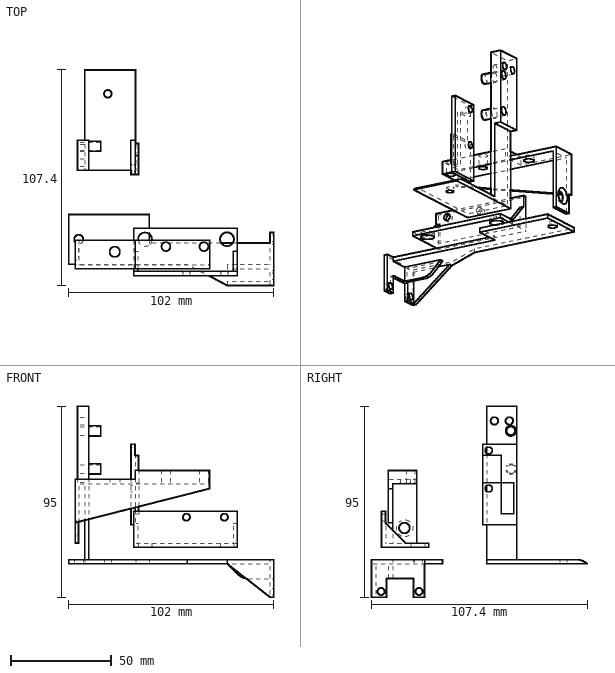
import cadquery as cq
import math


LENGTH = 102.0
DEPTH = 107.4
HEIGHT = 95.0
SHEET = 2.1
FLOOR_Z = 16.6
SCREW_PITCH = 18.9
SCREW_HOLE = 3.7
SMALL_HOLE = 3.4
GUIDE_HOLE = 4.4

POST_FRONT = 57.4
POST_WIDTH = 15.0
POST_BACK = POST_FRONT + POST_WIDTH
POST_RIGHT = 10.0
POST_HEAD_THICKNESS = 5.7
POST_HEAD_BOTTOM = 57.2
FOOT_LEFT = POST_RIGHT - SHEET
FOOT_RIGHT = 33.3
FOOT_LIP = 5.2
FOOT_HOLE_X = 19.4
FOOT_HOLE_Y = 95.5
PEG_LENGTH = 6.0
PEG_DIAMETER = 5.2
PEG_BORE = 4.2
PEG_Y = 69.4
PEG_TOP_Z = 82.8
POST_HOLE_Z = 87.7
POST_HOLE_YS = (61.2, 68.6)

PLATE_LEFT = 30.9
PLATE_RIGHT = PLATE_LEFT + SHEET
PLATE_FRONT = 55.3
PLATE_BACK = POST_BACK
PLATE_BOTTOM = 36.1
PLATE_TOP = 76.1
PAD_THICKNESS = 1.7
PAD_MARGIN = 5.6
PAD_SPLIT_Y = 64.7
PAD_SPLIT_Z = 56.9
PAD_BACK = 70.8
PLATE_HOLE_Y = 58.4
PLATE_HOLE_TOP_Z = 73.0

ARM_LEFT = 3.1
ARM_LENGTH = 67.0
ARM_FRONT = 8.4
ARM_WIDTH = 14.3
ARM_BACK = ARM_FRONT + ARM_WIDTH
ARM_TOP = 63.2
ARM_STEP_X = 33.2
ARM_STEP = 4.4
ARM_ROOT_BOTTOM = 37.0
ARM_TIP_BOTTOM = 54.0
TAB_THICKNESS = 1.8
TAB_BOTTOM = 27.0
TAB_HOLE = 5.2
TAB_SINK = 8.3
TAB_HOLE_Y = 16.4
TAB_HOLE_Z = 34.5
ARM_HOLE_X = 22.9
ARM_HOLE_Y = 16.9
ARM_SCREW_X = 48.3
ARM_SCREW_Y = 19.4

ANGLE_LEFT = 32.2
ANGLE_LENGTH = 51.7
ANGLE_FRONT = 4.9
ANGLE_WIDTH = 23.7
ANGLE_BOTTOM = 24.8
ANGLE_HEIGHT = 18.0
GUSSET_LEG = 10.0
ANGLE_FLOOR_HOLE = 6.8
ANGLE_FLOOR_HOLE_Y = 23.1
ANGLE_FLOOR_HOLE_XS = (37.9, 78.7)
ANGLE_SCREW_X = 58.5
ANGLE_SCREW_Z = 39.8

BASE_FRONT = 10.6
BASE_BACK = 35.4
BASE_STEP_X = 40.2
BASE_NARROW_BACK = 21.3
BASE_FLARE_X = 59.0
BASE_END_X = 78.9
BASE_HOLE_X = 4.9
BASE_HOLE_Y = 23.1
FLANGE_THICKNESS = 1.9
FLANGE_BACK = 26.5
NOTCH_FRONT = 7.6
NOTCH_BACK = 20.9
NOTCH_TOP = 9.2
FLANGE_HOLE_FRONT_Y = 4.8
FLANGE_HOLE_Z = 2.9
BRACE_FILLET = 7.5


def block(x_range, y_range, z_range):
    """Box between the two given limits along each axis."""
    size = [high - low for low, high in (x_range, y_range, z_range)]
    corner = (x_range[0], y_range[0], z_range[0])
    return cq.Workplane("XY").box(*size, centered=False).translate(corner)


def rod(diameter, start, end):
    """Cylinder between two points."""
    axis = cq.Vector(*end) - cq.Vector(*start)
    return cq.Workplane(cq.Solid.makeCylinder(diameter / 2, axis.Length, cq.Vector(*start), axis))


def hole_x(diameter, y, z, left=0.0, right=LENGTH):
    """Cutter along X."""
    return rod(diameter, (left, y, z), (right, y, z))


def hole_y(diameter, x, z):
    """Cutter along Y."""
    return rod(diameter, (x, 0, z), (x, DEPTH, z))


def hole_z(diameter, x, y):
    """Cutter along Z."""
    return rod(diameter, (x, y, 0), (x, y, HEIGHT))


def make_post():
    foot_top = FLOOR_Z + SHEET
    lip_radius = (FOOT_LIP**2 + SHEET**2) / (2 * SHEET)
    foot = (
        cq.Workplane("YZ", origin=(FOOT_LEFT, 0, 0))
        .moveTo(POST_FRONT, FLOOR_Z)
        .lineTo(POST_FRONT, foot_top)
        .lineTo(DEPTH - FOOT_LIP, foot_top)
        .radiusArc((DEPTH, FLOOR_Z), lip_radius)
        .close()
        .extrude(FOOT_RIGHT - FOOT_LEFT)
    )
    post_y = (POST_FRONT, POST_BACK)
    web = block((FOOT_LEFT, POST_RIGHT), post_y, (FLOOR_Z, HEIGHT))
    head = block((POST_RIGHT - POST_HEAD_THICKNESS, POST_RIGHT), post_y, (POST_HEAD_BOTTOM, HEIGHT))
    post = foot.union(web).union(head)
    for z in (PEG_TOP_Z, PEG_TOP_Z - SCREW_PITCH):
        post = post.union(hole_x(PEG_DIAMETER, PEG_Y, z, POST_RIGHT, POST_RIGHT + PEG_LENGTH))
        post = post.cut(hole_x(PEG_BORE, PEG_Y, z))
    for y in POST_HOLE_YS:
        post = post.cut(hole_x(SCREW_HOLE, y, POST_HOLE_Z))
    return post.cut(hole_z(SCREW_HOLE, FOOT_HOLE_X, FOOT_HOLE_Y))


def make_upright_plate():
    plate = block((PLATE_LEFT, PLATE_RIGHT), (PLATE_FRONT, PLATE_BACK), (PLATE_BOTTOM, PLATE_TOP))
    pad_x = (PLATE_RIGHT, PLATE_RIGHT + PAD_THICKNESS)
    front_pad = block(pad_x, (PLATE_FRONT, PAD_SPLIT_Y), (PAD_SPLIT_Z, PLATE_TOP - PAD_MARGIN))
    rear_pad = block(pad_x, (PAD_SPLIT_Y, PAD_BACK), (PLATE_BOTTOM + PAD_MARGIN, PAD_SPLIT_Z))
    plate = plate.union(front_pad).union(rear_pad)
    for z in (PLATE_HOLE_TOP_Z, PLATE_HOLE_TOP_Z - SCREW_PITCH):
        plate = plate.cut(hole_x(SMALL_HOLE, PLATE_HOLE_Y, z, PLATE_LEFT, PLATE_RIGHT))
    return plate


def make_arm():
    arm_right = ARM_LEFT + ARM_LENGTH
    low_top = ARM_TOP - ARM_STEP
    outline = [
        (ARM_LEFT, ARM_ROOT_BOTTOM),
        (arm_right, ARM_TIP_BOTTOM),
        (arm_right, ARM_TOP),
        (ARM_STEP_X, ARM_TOP),
        (ARM_STEP_X, low_top),
        (ARM_LEFT, low_top),
    ]
    arm = cq.Workplane("XZ", origin=(0, ARM_BACK, 0)).polyline(outline).close().extrude(ARM_WIDTH)
    inner_y = (ARM_FRONT + SHEET, ARM_BACK)
    arm = arm.cut(block((ARM_LEFT, arm_right), inner_y, (0, low_top - SHEET)))
    tab = block((ARM_LEFT, ARM_LEFT + TAB_THICKNESS), inner_y, (TAB_BOTTOM, low_top))
    arm = arm.union(tab).cut(hole_z(TAB_HOLE, ARM_HOLE_X, ARM_HOLE_Y))
    for x in (ARM_SCREW_X, ARM_SCREW_X + SCREW_PITCH):
        arm = arm.cut(hole_z(GUIDE_HOLE, x, ARM_SCREW_Y))
    sink_depth = (TAB_SINK - TAB_HOLE) / 2
    sink = cq.Solid.makeCone(
        TAB_SINK / 2,
        TAB_HOLE / 2,
        sink_depth,
        cq.Vector(ARM_LEFT, TAB_HOLE_Y, TAB_HOLE_Z),
        cq.Vector(1, 0, 0),
    )
    return arm.cut(hole_x(TAB_HOLE, TAB_HOLE_Y, TAB_HOLE_Z)).cut(cq.Workplane(sink))


def make_angle_bracket():
    angle_right = ANGLE_LEFT + ANGLE_LENGTH
    floor_top = ANGLE_BOTTOM + SHEET
    leg_back = ANGLE_FRONT + SHEET
    angle_x = (ANGLE_LEFT, angle_right)
    floor = block(angle_x, (ANGLE_FRONT, ANGLE_FRONT + ANGLE_WIDTH), (ANGLE_BOTTOM, floor_top))
    leg = block(angle_x, (ANGLE_FRONT, leg_back), (ANGLE_BOTTOM, ANGLE_BOTTOM + ANGLE_HEIGHT))
    bracket = floor.union(leg)
    gusset_corners = [
        (leg_back, floor_top),
        (leg_back + GUSSET_LEG, floor_top),
        (leg_back, floor_top + GUSSET_LEG),
    ]
    for x in (ANGLE_LEFT, angle_right - SHEET):
        gusset = cq.Workplane("YZ", origin=(x, 0, 0)).polyline(gusset_corners).close().extrude(SHEET)
        bracket = bracket.union(gusset)
    for x in ANGLE_FLOOR_HOLE_XS:
        bracket = bracket.cut(hole_z(ANGLE_FLOOR_HOLE, x, ANGLE_FLOOR_HOLE_Y))
    for x in (ANGLE_SCREW_X, ANGLE_SCREW_X + SCREW_PITCH):
        bracket = bracket.cut(hole_y(SMALL_HOLE, x, ANGLE_SCREW_Z))
    return bracket


def make_base_plate():
    flange_left = LENGTH - FLANGE_THICKNESS
    outline = [
        (0, BASE_FRONT),
        (BASE_FLARE_X, BASE_FRONT),
        (BASE_END_X, 0),
        (LENGTH, 0),
        (LENGTH, BASE_NARROW_BACK),
        (BASE_STEP_X, BASE_NARROW_BACK),
        (BASE_STEP_X, BASE_BACK),
        (0, BASE_BACK),
    ]
    base = cq.Workplane("XY", origin=(0, 0, FLOOR_Z)).polyline(outline).close().extrude(SHEET)
    base = base.cut(hole_z(GUIDE_HOLE, BASE_HOLE_X, BASE_HOLE_Y))

    flange = block((flange_left, LENGTH), (0, FLANGE_BACK), (0, FLOOR_Z + SHEET))
    flange = flange.cut(block((flange_left, LENGTH), (NOTCH_FRONT, NOTCH_BACK), (0, NOTCH_TOP)))
    for y in (FLANGE_HOLE_FRONT_Y, FLANGE_HOLE_FRONT_Y + SCREW_PITCH):
        flange = flange.cut(hole_x(SMALL_HOLE, y, FLANGE_HOLE_Z))

    front_corners = [(BASE_END_X, FLOOR_Z), (flange_left, FLOOR_Z), (flange_left, 0)]
    front_brace = cq.Workplane("XZ", origin=(0, SHEET, 0)).polyline(front_corners).close().extrude(SHEET)

    arc_drop = BRACE_FILLET * (1 - math.cos(math.radians(45)))
    arc_run = BRACE_FILLET * math.sin(math.radians(45))
    slope = FLOOR_Z - NOTCH_TOP - arc_drop
    slope_end_x = BASE_END_X + slope
    inner_brace = (
        cq.Workplane("XZ", origin=(0, BASE_FRONT, 0))
        .moveTo(BASE_END_X, FLOOR_Z)
        .lineTo(slope_end_x, FLOOR_Z - slope)
        .tangentArcPoint((slope_end_x + arc_run, NOTCH_TOP), relative=False)
        .lineTo(flange_left, NOTCH_TOP)
        .lineTo(flange_left, FLOOR_Z)
        .close()
        .extrude(SHEET)
    )
    return base.union(flange).union(front_brace).union(inner_brace)


post = make_post()
upright_plate = make_upright_plate()
arm = make_arm()
angle_bracket = make_angle_bracket()
base_plate = make_base_plate()

result = cq.Compound.makeCompound(
    [post.val(), upright_plate.val(), arm.val(), angle_bracket.val(), base_plate.val()]
)